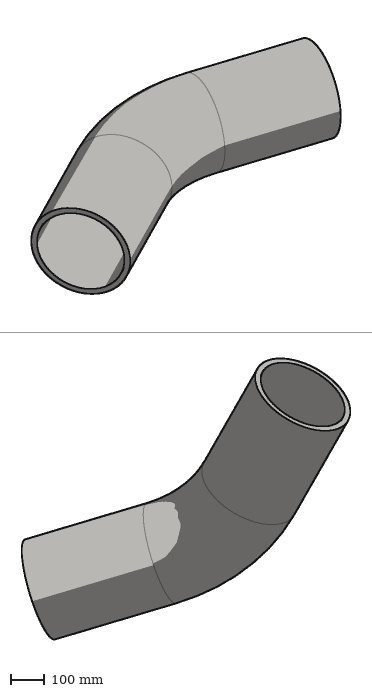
import cadquery as cq

outer_diameter = 315.0
wall_thickness = 18.7
leg_length = 390.0
bend_radius = 473.0
bend_angle = 45.0

outer_radius = outer_diameter / 2
inner_radius = outer_radius - wall_thickness


def pipe_ring(distance_along_y):
    """Annular pipe section facing +Y, with local x along +X and local y along -Z."""
    section_plane = cq.Plane(origin=(0, distance_along_y, 0), xDir=(1, 0, 0), normal=(0, 1, 0))
    return cq.Workplane(section_plane).circle(outer_radius).circle(inner_radius)


def inlet_leg():
    """Straight leg running along +Y up to the start of the bend."""
    return pipe_ring(0).extrude(leg_length)


def bend():
    """Bend curving from +Y towards +X about a vertical axis."""
    axis_start = (bend_radius, 0)
    axis_end = (bend_radius, outer_radius)
    return pipe_ring(leg_length).revolve(bend_angle, axis_start, axis_end)


def outlet_leg():
    """Straight leg swung about the bend axis so it is tangent to the end of the bend."""
    axis_start = (bend_radius, leg_length, 0)
    axis_end = (bend_radius, leg_length, outer_radius)
    unturned_leg = pipe_ring(leg_length).extrude(leg_length)
    return unturned_leg.rotate(axis_start, axis_end, -bend_angle)


result = inlet_leg().union(bend()).union(outlet_leg())